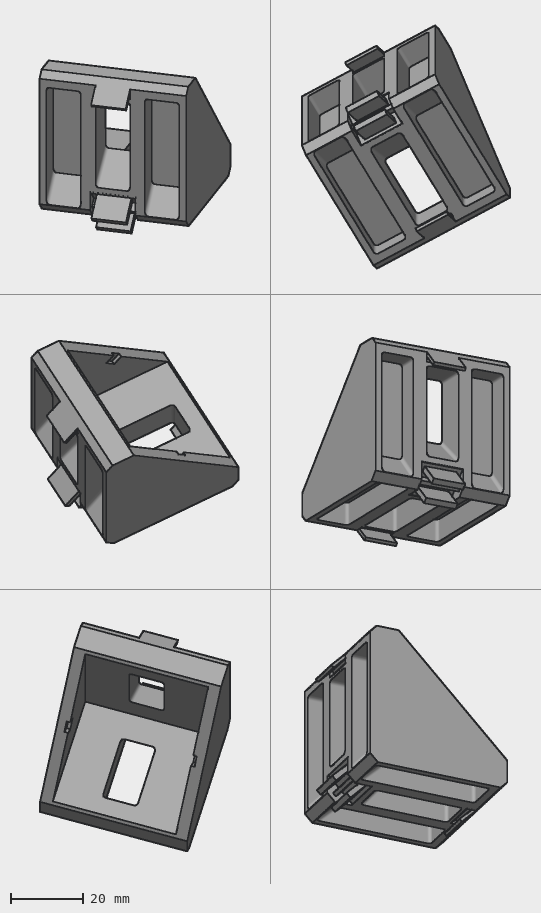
import cadquery as cq
import math


body_width = 42.5
leg_length = 42.0
leg_tip_width = 8.75
tip_chamfer = 2.0
heel_chamfer = 2.35

leg_thickness = 9.54
cavity_width = 35.5

pocket_width = 10.0
pocket_spacing = 28.5
pocket_bottom = 2.5
pocket_top = 37.6
pocket_depth = 6.5
pocket_floor_rise = 7.05
window_width = 10.0
window_bottom = 9.36
window_top = 36.0
window_floor_rise = 8.09
corner_radius = 1.0

tab_width = 10.0
tip_tab_length = 6.0
tip_tab_thickness = 1.0
tip_tab_gap = 1.05
heel_tab_inner = 2.24
heel_tab_thickness = 1.7
heel_tab_end = -1.64

notch_width = 13.15
notch_half_length = 5.22
notch_floor = 5.73
ridge_top = 3.11
ridge_half_thickness = 0.62

slot_depth = 1.05
slot_length = 3.1
slot_reach = 3.2
slot_flare_depth = 0.55
slot_flare = 0.2

diagonal = math.sqrt(2)
chamfer_edge = (leg_length - tip_chamfer) / diagonal
tip_tab_inner = chamfer_edge - tip_tab_thickness


def extrude_yz(points, width, center_x=0.0):
    """Extrude a closed (Y, Z) outline along X, centred on center_x."""
    outline = cq.Workplane("YZ", origin=(center_x - width / 2, 0, 0)).polyline(points).close()
    return outline.extrude(width)


def diagonal_box(u_start, u_end, v_start, v_end, width):
    """Block turned 45 degrees: u runs from the heel into the body, v from leg to leg."""
    corners = [(u_start, v_start), (u_end, v_start), (u_end, v_end), (u_start, v_end)]
    points = [((u - v) / diagonal, (u + v) / diagonal) for u, v in corners]
    return extrude_yz(points, width)


def on_both_legs(shape):
    """Add the bottom-leg twin of a front-leg shape, mirrored in the plane Y = Z."""
    return shape.union(shape.mirror(mirrorPlane=(0, 1, -1)))


def make_body():
    points = [
        (heel_chamfer, 0),
        (leg_length - tip_chamfer, 0),
        (leg_length, tip_chamfer),
        (leg_length, leg_tip_width),
        (leg_tip_width, leg_length),
        (tip_chamfer, leg_length),
        (0, leg_length - tip_chamfer),
        (0, heel_chamfer),
    ]
    return extrude_yz(points, body_width)


def make_cavity():
    """Triangular space between the legs, running out through the sloping side."""
    cavity_reach = leg_length + leg_tip_width - leg_thickness
    points = [
        (leg_thickness, leg_thickness),
        (cavity_reach, leg_thickness),
        (leg_thickness, cavity_reach),
    ]
    return extrude_yz(points, cavity_width)


def make_leg_opening(width, bottom, top, depth, floor_rise, center_x):
    """Opening in the front leg with a sloping floor and four rounded corners."""
    points = [(0, bottom), (depth, bottom + floor_rise), (depth, top), (0, top)]
    opening = extrude_yz(points, width, center_x)
    opening = opening.edges("|Y").fillet(corner_radius)
    floor_edges = cq.selectors.ParallelDirSelector(cq.Vector(0, depth, floor_rise))
    return opening.edges(floor_edges).fillet(corner_radius)


def make_pockets():
    pockets = cq.Workplane("XY")
    for side in (-1, 1):
        center_x = side * pocket_spacing / 2
        pocket = make_leg_opening(
            pocket_width, pocket_bottom, pocket_top, pocket_depth, pocket_floor_rise, center_x
        )
        pockets = pockets.add(pocket)
    return pockets.combine()


def make_window():
    return make_leg_opening(
        window_width, window_bottom, window_top, leg_thickness, window_floor_rise, 0
    )


def make_heel_notch():
    """Notch across the heel edge, with the ridge left standing in its middle."""
    notch = diagonal_box(0, notch_floor, -notch_half_length, notch_half_length, notch_width)
    ridge = diagonal_box(
        ridge_top, notch_floor, -ridge_half_thickness, ridge_half_thickness, notch_width
    )
    return notch.cut(ridge)


def make_heel_tab():
    tab_outer = heel_tab_inner + heel_tab_thickness
    return diagonal_box(heel_tab_end, notch_floor, heel_tab_inner, tab_outer, tab_width)


def make_tip_tab():
    """Tab that carries the tip chamfer on past the front face."""
    tab_end = chamfer_edge - tip_tab_length
    return diagonal_box(tab_end, chamfer_edge, tip_tab_inner, chamfer_edge, tab_width)


def make_tip_tab_relief():
    """Gap under the root of a tip tab, cut into the front face."""
    gap_floor = tip_tab_inner - tip_tab_gap
    return diagonal_box(gap_floor, chamfer_edge, gap_floor, tip_tab_inner, tab_width)


def make_release_slot():
    """Slot in the +X side wall, cut square to the sloping side and flared at its mouth."""
    mouth_x = cavity_width / 2
    flare_x = mouth_x + slot_flare_depth
    outer_x = mouth_x + slot_depth
    half_length = slot_length / 2
    mouth_half_length = half_length + slot_flare
    flare_middle_x = mouth_x + slot_flare_depth / 2
    flare_middle = half_length + slot_flare / 4
    slope_height = (leg_length + leg_tip_width) / diagonal
    outline = (
        cq.Workplane("XY", origin=(0, 0, slope_height - slot_reach))
        .moveTo(mouth_x, -mouth_half_length)
        .threePointArc((flare_middle_x, -flare_middle), (flare_x, -half_length))
        .lineTo(outer_x, -half_length)
        .lineTo(outer_x, half_length)
        .lineTo(flare_x, half_length)
        .threePointArc((flare_middle_x, flare_middle), (mouth_x, mouth_half_length))
        .close()
    )
    return outline.extrude(slot_reach).rotate((0, 0, 0), (1, 0, 0), -45)


body = make_body().cut(make_cavity())
body = body.cut(on_both_legs(make_pockets()))
body = body.cut(on_both_legs(make_window()))
body = body.cut(make_heel_notch())
body = body.cut(on_both_legs(make_tip_tab_relief()))

release_slot = make_release_slot()
body = body.cut(release_slot).cut(release_slot.mirror("YZ"))

tabs = on_both_legs(make_heel_tab()).union(on_both_legs(make_tip_tab()))
result = body.union(tabs)